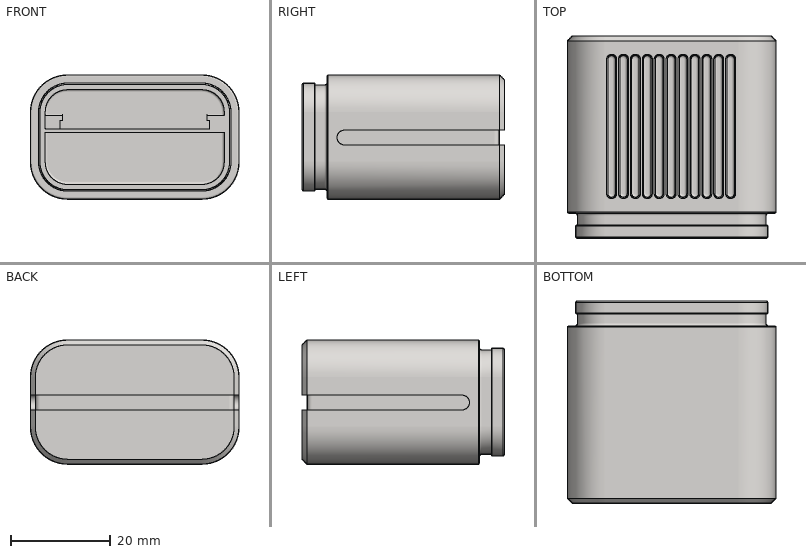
import cadquery as cq

width = 42
length = 40.75
height = 25.03
corner_radius = 7.5

front_y = -length / 2
back_y = length / 2
neck_length = 5.05
shoulder_y = front_y + neck_length
back_chamfer = 1.0
shoulder_chamfer = 0.2

lip_inset = 1.65
lip_length = 2.65
lip_chamfer = 0.3
lip_back_chamfer = 0.15
neck_inset = 2.0
neck_fillet = 0.5

wall = 3.0
cavity_fillet = 0.5
cavity_back_y = back_y - wall
cavity_half_width = width / 2 - wall

shelf_bottom = 0.92
shelf_top = 1.6
rail_top = 4.32
rail_lip_bottom = 3.3
rail_gap = 30.15
rail_lip_gap = 29.05
left_rail_setback = 3.0
shelf_fillet = 0.15
shelf_half_span = cavity_half_width + cavity_fillet

channel_width = 3.0
channel_depth = 1.0
channel_bend = 1.0
channel_centre_z = -0.1
channel_end_y = -13.3

groove_count = 11
groove_pitch = 2.4
groove_width = 1.5
groove_length = 28.5
groove_depth = 0.75
groove_floor_fillet = 0.5
groove_rim = 0.25
groove_centre_x = -0.13
groove_centre_y = 2.15

pick_margin = 0.05


def rounded_bar(inset, start_y, end_y):
    """Bar along Y whose section is the outer outline moved inward by inset."""
    return (
        cq.Workplane("XZ", origin=(0, start_y, 0))
        .rect(width - 2 * inset, height - 2 * inset)
        .extrude(start_y - end_y)
        .edges("|Y")
        .fillet(corner_radius - inset)
    )


def block(x_range, y_range, z_range):
    """Box given by its lower and upper limits on each axis."""
    sizes = [high - low for low, high in (x_range, y_range, z_range)]
    corner = (x_range[0], y_range[0], z_range[0])
    return cq.Workplane("XY").box(*sizes, centered=False).translate(corner)


def edges_within(x_range, y_range, z_range):
    """Selector for the edges whose centres lie in the given limits, margin included."""
    ranges = (x_range, y_range, z_range)
    low_corner = [low - pick_margin for low, high in ranges]
    high_corner = [high + pick_margin for low, high in ranges]
    return cq.selectors.BoxSelector(low_corner, high_corner)


def make_shell():
    body = rounded_bar(0, shoulder_y, back_y)
    body = body.faces(">Y").chamfer(back_chamfer)
    body = body.faces("<Y").chamfer(shoulder_chamfer)
    neck = rounded_bar(neck_inset, front_y, shoulder_y)
    body = body.union(neck)
    neck_half_width = width / 2 - neck_inset
    neck_half_height = height / 2 - neck_inset
    root = edges_within(
        (-neck_half_width, neck_half_width),
        (shoulder_y, shoulder_y),
        (-neck_half_height, neck_half_height),
    )
    body = body.edges(root).fillet(neck_fillet)
    lip = rounded_bar(lip_inset, front_y, front_y + lip_length)
    lip = lip.faces("<Y").chamfer(lip_chamfer)
    lip = lip.faces(">Y").chamfer(lip_back_chamfer)
    cavity = rounded_bar(wall, front_y, cavity_back_y)
    cavity = cavity.faces(">Y").edges().fillet(cavity_fillet)
    return body.union(lip).cut(cavity)


def make_rail(side, start_y):
    """Guide rail on the side given by -1 (left) or +1 (right), with an overhanging top lip."""
    profile = [
        (shelf_half_span, shelf_bottom),
        (rail_gap / 2, shelf_bottom),
        (rail_gap / 2, rail_lip_bottom),
        (rail_lip_gap / 2, rail_lip_bottom),
        (rail_lip_gap / 2, rail_top),
        (shelf_half_span, rail_top),
    ]
    return (
        cq.Workplane("XZ", origin=(0, start_y, 0))
        .polyline([(side * x, z) for x, z in profile])
        .close()
        .extrude(start_y - cavity_back_y)
    )


def make_shelf():
    shelf = block(
        (-shelf_half_span, shelf_half_span),
        (front_y, cavity_back_y + cavity_fillet),
        (shelf_bottom, shelf_top),
    )
    return shelf.union(make_rail(-1, front_y + left_rail_setback)).union(make_rail(1, front_y))


def make_channel():
    """Ring-shaped cutter: rounded-end slots on the sides, less the core left between them."""
    half_width = channel_width / 2
    slot_start = channel_end_y + half_width
    z_range = (channel_centre_z - half_width, channel_centre_z + half_width)
    slot = block((-width / 2, width / 2), (slot_start, back_y), z_range)
    ends = (
        cq.Workplane("YZ", origin=(0, slot_start, channel_centre_z))
        .circle(half_width)
        .extrude(width / 2, both=True)
    )
    core_half = width / 2 - channel_depth
    core = block((-core_half, core_half), (front_y, back_y - channel_depth), z_range)
    core = core.edges("|Z and >Y").fillet(channel_bend)
    return slot.union(ends).cut(core)


def make_groove():
    """Cutter for one grip groove: round-bottomed slot with a flared rim."""
    groove = (
        cq.Workplane("XY", origin=(0, groove_centre_y, height / 2 - groove_depth))
        .slot2D(groove_length, groove_width, 90)
        .extrude(groove_depth)
        .faces("<Z")
        .edges()
        .fillet(groove_floor_fillet)
    )
    rim = (
        cq.Workplane("XY", origin=(0, groove_centre_y, height / 2))
        .slot2D(groove_length + 2 * groove_rim, groove_width + 2 * groove_rim, 90)
        .extrude(-groove_rim, taper=45)
    )
    return groove.union(rim)


def fillet_rail_roots(part):
    """Round the inside corners where the rail tops meet the cavity walls, and the
    shelf corner left open in front of the shorter left rail."""
    for wall_x in (-cavity_half_width, cavity_half_width):
        rail_root = edges_within((wall_x, wall_x), (front_y, back_y), (rail_top, rail_top))
        part = part.edges(rail_root).edges("|Y").fillet(shelf_fillet)
    shelf_corner = edges_within(
        (-cavity_half_width, -cavity_half_width),
        (front_y, front_y + left_rail_setback),
        (shelf_top, shelf_top),
    )
    return part.edges(shelf_corner).edges("|Y").fillet(shelf_fillet)


result = fillet_rail_roots(make_shell().union(make_shelf())).cut(make_channel())
groove = make_groove()
for index in range(groove_count):
    groove_x = groove_centre_x + (index - (groove_count - 1) / 2) * groove_pitch
    result = result.cut(groove.translate((groove_x, 0, 0)))